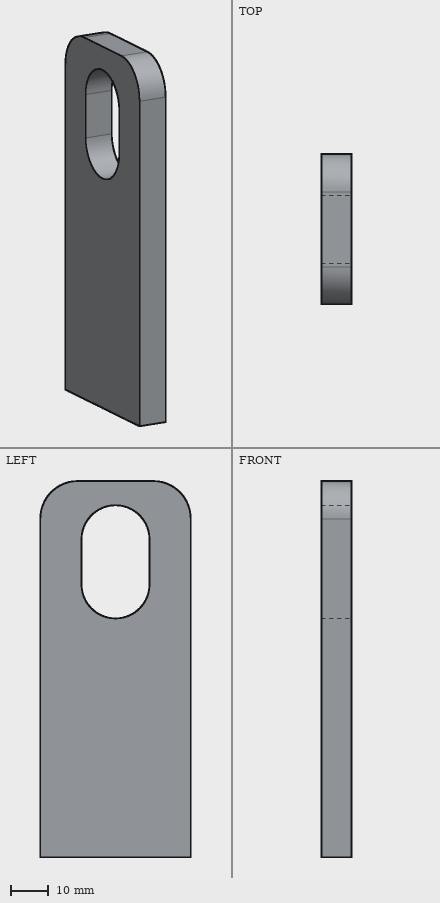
import cadquery as cq

thickness = 8.0
width = 40.0
height = 100.0
corner_radius = 10.0

slot_width = 18.0
slot_length = 30.0
slot_top_margin = 6.5
slot_center_z = height - slot_top_margin - slot_length / 2


def make_plate():
    """Upright plate standing on Z = 0, with its two top corners rounded."""
    plate = cq.Workplane("XY").box(thickness, width, height, centered=(True, True, False))
    return plate.edges("|X and >Z").fillet(corner_radius)


def make_slot_cutter():
    """Round-ended bar along X that passes right through the plate."""
    return (
        cq.Workplane("YZ")
        .center(0, slot_center_z)
        .slot2D(slot_length, slot_width, angle=90)
        .extrude(thickness, both=True)
    )


result = make_plate().cut(make_slot_cutter())